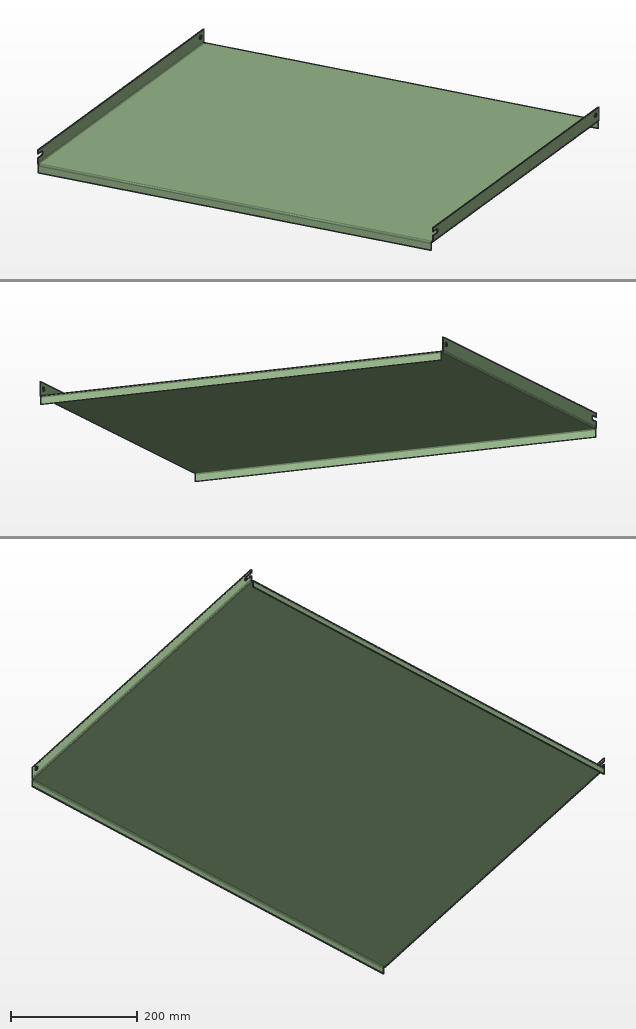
import cadquery as cq

length = 706.0
width = 575.0

thickness = 1.7
inner_radius = 1.05
outer_radius = inner_radius + thickness
corner_relief = outer_radius

up_flange_height = 25.0
down_flange_height = 15.0
floor_top = down_flange_height
floor_bottom = floor_top - thickness
height = floor_bottom + up_flange_height

fixing_diameter = 7.0
fixing_drop = 10.0
fixing_height = height - fixing_drop
hole_inset = 14.0
slot_length = 19.0

flange_x_span = length - 2 * corner_relief
flange_y_span = width - 2 * corner_relief


def bent_flange(reach, flange_height, span):
    """Quarter bend and upright flange, folded up at +X from a floor whose underside is at Z = 0."""
    bend_start = reach - outer_radius
    bend_diagonal = 0.5 ** 0.5
    outer_mid = (bend_start + outer_radius * bend_diagonal, outer_radius * (1 - bend_diagonal))
    inner_mid = (bend_start + inner_radius * bend_diagonal, outer_radius - inner_radius * bend_diagonal)
    return (
        cq.Workplane("XZ")
        .moveTo(bend_start, 0)
        .threePointArc(outer_mid, (reach, outer_radius))
        .lineTo(reach, flange_height)
        .lineTo(reach - thickness, flange_height)
        .lineTo(reach - thickness, outer_radius)
        .threePointArc(inner_mid, (bend_start, thickness))
        .close()
        .extrude(span / 2, both=True)
    )


result = cq.Workplane("XY").box(
    flange_x_span, flange_y_span, thickness, centered=(True, True, False)
).translate((0, 0, floor_bottom))

up_flange = bent_flange(length / 2, up_flange_height, flange_y_span).translate((0, 0, floor_bottom))
for angle in (0, 180):
    result = result.union(up_flange.rotate((0, 0, 0), (0, 0, 1), angle))

down_flange = (
    bent_flange(width / 2, down_flange_height, flange_x_span)
    .rotate((0, 0, 0), (1, 0, 0), 180)
    .translate((0, 0, floor_top))
)
for angle in (90, 270):
    result = result.union(down_flange.rotate((0, 0, 0), (0, 0, 1), angle))

hole = (
    cq.Workplane("YZ")
    .center(width / 2 - hole_inset, fixing_height)
    .circle(fixing_diameter / 2)
    .extrude(length / 2, both=True)
)

slot = (
    cq.Workplane("YZ")
    .center(-width / 2, fixing_height)
    .slot2D(2 * slot_length, fixing_diameter)
    .extrude(length / 2, both=True)
)
result = result.cut(hole).cut(slot)